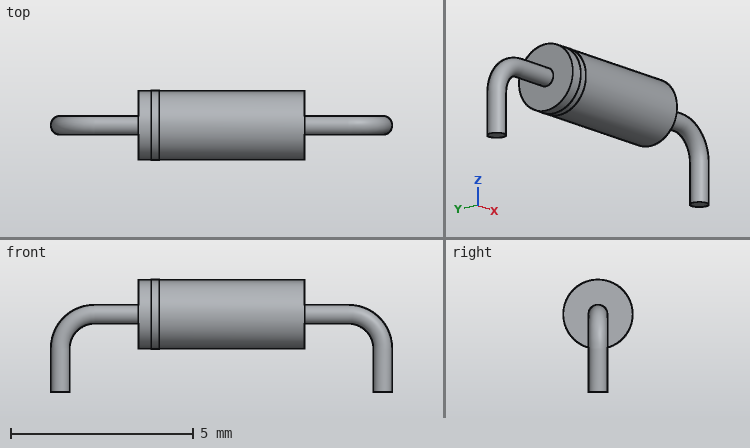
import cadquery as cq

overall_length = 9.37
overall_height = 3.09

body_diameter = 1.9
body_length = 4.55

band_diameter = 1.91
band_width = 0.225
band_offset = 0.35

wire_diameter = 0.525
bend_radius = 0.94

body_start = -body_length / 2
band_start = body_start + band_offset
leg_x = (overall_length - wire_diameter) / 2
leg_tip_z = band_diameter / 2 - overall_height
bend_x = leg_x - bend_radius


def cylinder_along_x(diameter, start_x, length):
    return cq.Workplane("YZ", origin=(start_x, 0, 0)).circle(diameter / 2).extrude(length)


def make_body():
    """Plain cylinder with a bore that fits the wire."""
    bore = cylinder_along_x(wire_diameter, body_start, body_length)
    return cylinder_along_x(body_diameter, body_start, body_length).cut(bore)


def make_band():
    """Sleeve lying on the outside of the body."""
    inside = cylinder_along_x(body_diameter, band_start, band_width)
    return cylinder_along_x(band_diameter, band_start, band_width).cut(inside)


def make_wire():
    """One round wire: leg, bend, straight run, bend, leg."""
    centreline = (
        cq.Workplane("XZ")
        .moveTo(-leg_x, leg_tip_z)
        .lineTo(-leg_x, -bend_radius)
        .tangentArcPoint((-bend_x, 0), relative=False)
        .lineTo(bend_x, 0)
        .tangentArcPoint((leg_x, -bend_radius), relative=False)
        .lineTo(leg_x, leg_tip_z)
    )
    leg_tip = cq.Workplane("XY", origin=(-leg_x, 0, leg_tip_z)).circle(wire_diameter / 2)
    return leg_tip.sweep(centreline)


body = make_body()
band = make_band()
wire = make_wire()

result = cq.Compound.makeCompound([body.val(), band.val(), wire.val()])